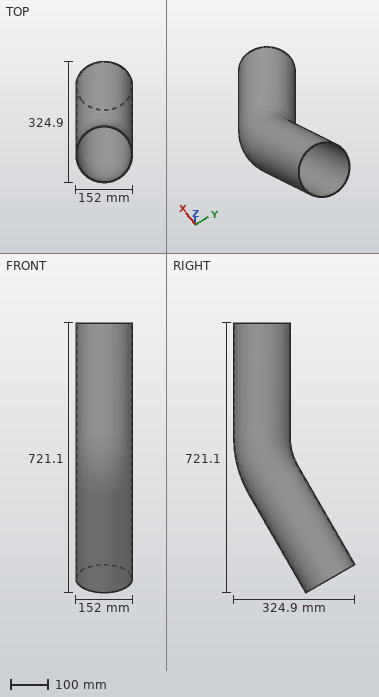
import cadquery as cq
import math

outer_diameter = 152.0
inner_diameter = 146.5
leg_length = 305.0
bend_radius = 228.0
bend_angle = 30


def bend_point(angle):
    """Centreline point (Y, Z) after turning by angle degrees from the upper leg."""
    turn = math.radians(angle)
    y = bend_radius * (1 - math.cos(turn))
    z = -leg_length - bend_radius * math.sin(turn)
    return y, z


def pipe_centreline():
    """Path from the upper open end, down and round toward +Y."""
    turn = math.radians(bend_angle)
    bend_end_y, bend_end_z = bend_point(bend_angle)
    lower_end = (
        bend_end_y + leg_length * math.sin(turn),
        bend_end_z - leg_length * math.cos(turn),
    )
    return (
        cq.Workplane("YZ")
        .lineTo(0, -leg_length)
        .threePointArc(bend_point(bend_angle / 2), bend_point(bend_angle))
        .lineTo(*lower_end)
    )


result = (
    cq.Workplane("XY")
    .circle(outer_diameter / 2)
    .circle(inner_diameter / 2)
    .sweep(pipe_centreline())
)